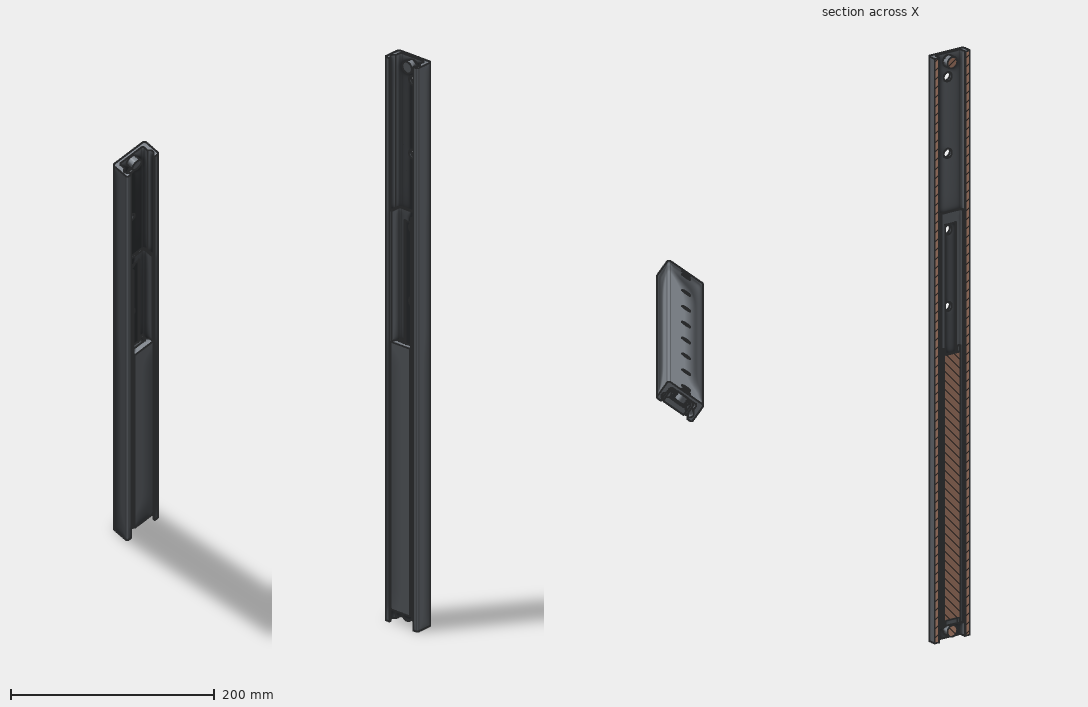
import cadquery as cq


length = 610.0
height = 43.0
depth = 22.0
back_x = -depth / 2
front_x = depth / 2

rail_groove_radius = 3.95
rail_groove_x = 3.5
rail_groove_y = 14.5
slider_groove_radius = 3.5
slider_groove_x = 2.5
slider_groove_y = 13.0

lip_x = 10.0
back_thickness = 3.5
rail_inner_x = back_x + back_thickness
arm_thickness = 5.8
rail_inner_y = height / 2 - arm_thickness
rail_outer_fillet = 2.5
rail_lip_fillet = 2.0
rail_inner_fillet = 2.0

hole_diameter = 10.0
hole_pitch = 80.0
hole_count = 8

pin_head_diameter = 12.0
pin_shank_diameter = 10.0
pin_end_x = 0.9
pin_inset = 8.5

moving_bottom_z = pin_inset + pin_head_diameter / 2
slider_length = 290.0
slider_half_height = 12.0
slider_inner_x = -2.15
leg_half_height = 10.5
recess_floor_x = 4.6
recess_half_height = 8.0
recess_depth = 6.0

cage_length = 430.5
cage_clearance = 0.3
cage_inner_y = slider_half_height + cage_clearance
cage_thickness = 2.15
cage_outer_y = cage_inner_y + cage_thickness
cage_inner_x = -2.5
cage_outer_x = cage_inner_x - cage_thickness
cage_inner_fillet = 2.0
cage_outer_fillet = cage_inner_fillet + cage_thickness
window_half_height = 7.0
window_margin = 12.0


def block(x_min, x_max, half_height, z_min, z_max):
    """Box centred on Y = 0 between the given X and Z limits."""
    size = (x_max - x_min, 2 * half_height, z_max - z_min)
    return cq.Workplane("XY").box(*size, centered=(False, True, False)).translate((x_min, 0, z_min))


def cylinder_along_x(diameter, x_min, x_max, z):
    """Cylinder on Y = 0 with its axis along X."""
    return cq.Workplane("YZ", origin=(x_min, 0, z)).circle(diameter / 2).extrude(x_max - x_min)


def ball_grooves(radius, x, y):
    """Two full-length rods that cut the ball grooves at +Y and -Y."""
    return cq.Workplane("XY").pushPoints([(x, y), (x, -y)]).circle(radius).extrude(length)


def hole_heights():
    """Z of each mounting hole, spaced evenly about the middle of the rail."""
    first = length / 2 - hole_pitch * (hole_count - 1) / 2
    return [first + hole_pitch * i for i in range(hole_count)]


def pin_heights():
    """Z of the stop pins, one near each end of the rail."""
    return [pin_inset, length - pin_inset]


def make_rail():
    """C-shaped rail with ball grooves, mounting holes and stop pin holes."""
    body = block(back_x, lip_x, height / 2, 0, length)
    body = body.edges("|Z and <X").fillet(rail_outer_fillet)
    body = body.edges("|Z and >X").fillet(rail_lip_fillet)
    channel = block(rail_inner_x, front_x, rail_inner_y, 0, length)
    channel = channel.edges("|Z and <X").fillet(rail_inner_fillet)
    body = body.cut(channel).cut(ball_grooves(rail_groove_radius, rail_groove_x, rail_groove_y))
    for z in hole_heights():
        body = body.cut(cylinder_along_x(hole_diameter, back_x, rail_inner_x, z))
    for z in pin_heights():
        body = body.cut(cylinder_along_x(pin_shank_diameter, back_x, rail_inner_x, z))
    return body


def make_slider():
    """Grooved bar with a short recess in each end, which clears the stop pins."""
    top_z = moving_bottom_z + slider_length
    body = block(slider_groove_x, front_x, slider_half_height, moving_bottom_z, top_z)
    body = body.union(block(slider_inner_x, slider_groove_x, leg_half_height, moving_bottom_z, top_z))
    body = body.cut(ball_grooves(slider_groove_radius, slider_groove_x, slider_groove_y))
    for z in (moving_bottom_z, top_z - recess_depth):
        recess = block(slider_inner_x, recess_floor_x, recess_half_height, z, z + recess_depth)
        body = body.cut(recess)
    return body


def make_cage():
    """U-shaped ball cage between rail and slider, with a long window in its web."""
    top_z = moving_bottom_z + cage_length
    body = block(cage_outer_x, lip_x, cage_outer_y, moving_bottom_z, top_z)
    body = body.edges("|Z and <X").fillet(cage_outer_fillet)
    cavity = block(cage_inner_x, lip_x, cage_inner_y, moving_bottom_z, top_z)
    body = body.cut(cavity.edges("|Z and <X").fillet(cage_inner_fillet))
    window_bottom_z = moving_bottom_z + window_margin
    window_top_z = top_z - window_margin
    window = block(cage_outer_x, cage_inner_x, window_half_height, window_bottom_z, window_top_z)
    return body.cut(window)


def make_pin(z):
    """Shank seated in the rail back, with a wider head inside the channel."""
    shank = cylinder_along_x(pin_shank_diameter, back_x, rail_inner_x, z)
    head = cylinder_along_x(pin_head_diameter, rail_inner_x, pin_end_x, z)
    return shank.union(head)


rail = make_rail()
slider = make_slider()
cage = make_cage()
pins = [make_pin(z) for z in pin_heights()]

result = cq.Compound.makeCompound(
    [rail.val(), slider.val(), cage.val(), *[pin.val() for pin in pins]]
)